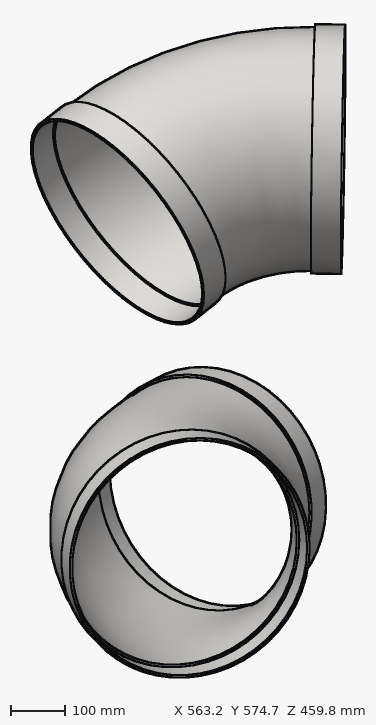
import cadquery as cq
import math

bend_angle = 45.0
pipe_diameter = 450.0
bend_radius = pipe_diameter
wall = 4.9
collar_length = 55.0
socket_depth = 52.5

collar_diameter = pipe_diameter + 2 * wall
bore_diameter = pipe_diameter - 2 * wall
overlap = collar_length - socket_depth

angle = math.radians(bend_angle)
outlet_direction = (math.sin(angle), math.cos(angle), 0)
outlet_centre = (bend_radius * (1 - math.cos(angle)), bend_radius * math.sin(angle), 0)

inlet_end = cq.Plane(origin=(0, 0, 0), xDir=(1, 0, 0), normal=(0, -1, 0))
outlet_end = cq.Plane(origin=outlet_centre, xDir=(0, 0, 1), normal=outlet_direction)


def curved_pipe():
    """Constant-section ring revolved about the vertical bend axis."""
    return (
        cq.Workplane("XZ")
        .circle(pipe_diameter / 2)
        .circle(bore_diameter / 2)
        .revolve(bend_angle, (bend_radius, 6, 0), (bend_radius, 0, 0))
    )


def collar(end):
    """Socket sleeve, with a short inner ring where the pipe wall enters it."""
    sleeve = (
        cq.Workplane(end)
        .circle(collar_diameter / 2)
        .circle(bore_diameter / 2)
        .extrude(collar_length)
    )
    socket = (
        cq.Workplane(end)
        .workplane(offset=overlap)
        .circle(pipe_diameter / 2)
        .extrude(socket_depth)
    )
    return sleeve.cut(socket)


result = curved_pipe().union(collar(inlet_end)).union(collar(outlet_end))